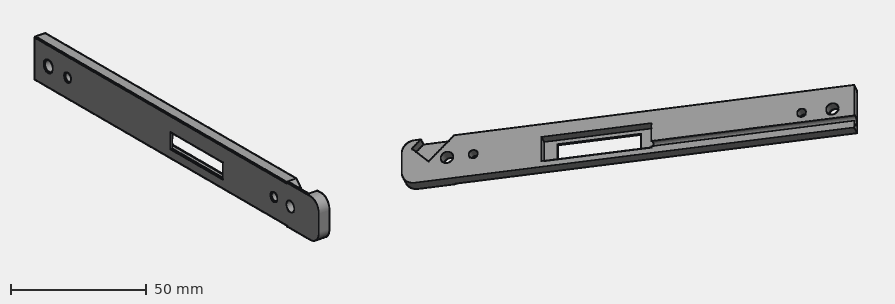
import cadquery as cq

LENGTH = 172.27
THICKNESS = 5.0
HEIGHT = 18.0
END_RADIUS = 5.0

BEVEL = 0.4
BEVEL_LENGTH = 153.0

HOLE_Z = HEIGHT / 2
HOLE_CHAMFER = 0.4
SCREW_HOLE_DIAMETER = 3.4
SCREW_HOLE_X = (20.0, 145.0)
LEFT_HOLE_X = 8.3
END_HOLE_DIAMETER = 4.7
RIGHT_HOLE_X = 155.0

WINDOW_X = 82.2
WINDOW_Z = 4.0
WINDOW_LENGTH = 31.8
WINDOW_HEIGHT = 7.0

FRONT_WALL = 1.0

RECESS_END_MARGIN = 5.0
RECESS_SIDE_MARGIN = 1.6

GROOVE_DIAMETER = 4.0
GROOVE_WALL = 1.3
GROOVE_Z = 3.9
GROOVE_PAST_WINDOW = 4.0
GROOVE_END_X = WINDOW_X + WINDOW_LENGTH + GROOVE_PAST_WINDOW

SLOT_MOUTH_X = 152.2
SLOT_MOUTH = 12.7
SLOT_DROP = 9.8


def plate():
    body = cq.Workplane("XY").box(LENGTH, THICKNESS, HEIGHT, centered=False)
    return body.edges("|Y and >X").fillet(END_RADIUS)


def edge_bevel(edge_z, inward):
    """Triangular cut on a front edge; inward is +1 or -1 along Z."""
    corners = [(0, edge_z), (BEVEL, edge_z), (0, edge_z + inward * BEVEL)]
    return cq.Workplane("YZ").polyline(corners).close().extrude(BEVEL_LENGTH)


def round_hole(x, diameter):
    axis = cq.Vector(0, 1, 0)
    center = cq.Vector(x, 0, HOLE_Z)
    return cq.Workplane(cq.Solid.makeCylinder(diameter / 2, THICKNESS, center, axis))


def chamfered_hole(x, diameter):
    """Through hole with a small chamfer at the front face."""
    axis = cq.Vector(0, 1, 0)
    center = cq.Vector(x, 0, HOLE_Z)
    radius = diameter / 2
    chamfer = cq.Solid.makeCone(radius + HOLE_CHAMFER, radius, HOLE_CHAMFER, center, axis)
    return round_hole(x, diameter).union(cq.Workplane(chamfer))


def window():
    opening = cq.Workplane("XY").box(WINDOW_LENGTH, THICKNESS, WINDOW_HEIGHT, centered=False)
    return opening.translate((WINDOW_X, 0, WINDOW_Z))


def window_recess():
    length = WINDOW_LENGTH + 2 * RECESS_END_MARGIN
    height = WINDOW_HEIGHT + 2 * RECESS_SIDE_MARGIN
    recess = cq.Workplane("XY").box(length, THICKNESS - FRONT_WALL, height, centered=False)
    return recess.translate((WINDOW_X - RECESS_END_MARGIN, FRONT_WALL, WINDOW_Z - RECESS_SIDE_MARGIN))


def cable_groove():
    radius = GROOVE_DIAMETER / 2
    profile = cq.Workplane("YZ").center(GROOVE_WALL + radius, GROOVE_Z).circle(radius)
    return profile.extrude(GROOVE_END_X)


def slanted_slot():
    """Right-angled slot: sloping floor, square end, and a parallel overhanging side."""
    corner_x = SLOT_MOUTH_X + SLOT_DROP
    corner_z = HEIGHT - SLOT_DROP
    half_mouth = SLOT_MOUTH / 2
    corners = [
        (SLOT_MOUTH_X, HEIGHT),
        (corner_x, corner_z),
        (corner_x + half_mouth, corner_z + half_mouth),
        (SLOT_MOUTH_X + SLOT_MOUTH, HEIGHT),
    ]
    outline = cq.Workplane("XZ", origin=(0, THICKNESS, 0)).polyline(corners).close()
    return outline.extrude(THICKNESS - FRONT_WALL)


result = plate()
result = result.cut(edge_bevel(0, 1)).cut(edge_bevel(HEIGHT, -1))
for screw_x in SCREW_HOLE_X:
    result = result.cut(chamfered_hole(screw_x, SCREW_HOLE_DIAMETER))
result = result.cut(chamfered_hole(LEFT_HOLE_X, END_HOLE_DIAMETER))
result = result.cut(round_hole(RIGHT_HOLE_X, END_HOLE_DIAMETER))
result = result.cut(window()).cut(window_recess())
result = result.cut(cable_groove()).cut(slanted_slot())